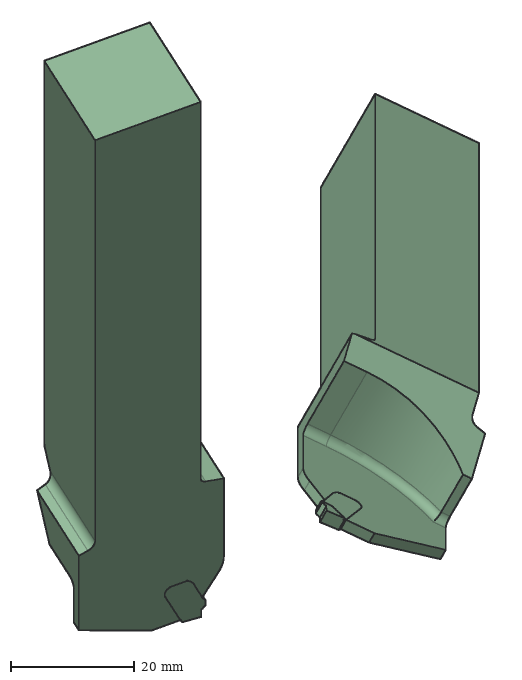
import cadquery as cq
import math

shank_width = 19.0
overall_height = 127.0
half_width = shank_width / 2
right_face_x = half_width

head_back_y = 13.7
head_front_y = -12.5
back_shoulder_z = 32.1
front_shoulder_z = 26.0
shoulder_angle = 15.0
back_neck_radius = 1.1
front_neck_radius = 1.8

slant_top_z = 32.3
slant_foot_x = -1.8
slant_foot_z = 18.0

blade_thickness = 1.9
blade_face_x = right_face_x - blade_thickness
relief_back_z = 26.9
relief_front_z = 17.5
relief_radius = 26.7
relief_fillet = 1.5
blade_bottom_z = 1.08
blade_front_z = 7.6
blade_toe_y = 0.6
blade_heel_z = 13.2
heel_arc_mid = (13.5, 11.2)
heel_arc_end = (12.6, 9.3)
insert_back_corner = (9.8, 4.7)
insert_front_corner = (5.8, blade_bottom_z)

insert_top_z = 10.2
insert_top_back_y = 7.1
insert_top_front_y = 4.1
front_arc_mid = (3.2, 9.4)
front_arc_end = (3.2, 8.0)
back_flank_foot = (9.5, 5.5)
back_arc_start = (8.5, 8.1)
back_arc_mid = (8.0, 9.3)
nose_edge_y = 10.4
nose_tip_y = 9.7
nose_front_y = 6.2
nose_front_z = 0.4
nose_tip_top_z = 1.8
nose_edge_z = 2.5
nose_shoulder_z = 3.7
chip_step_z = 3.0
chip_bend_y = 8.6
chip_foot_y = 6.9
nose_step = 0.32
nose_height = 0.45

cut_margin = 6.4
pick_margin = 0.1


def extrude_along_x(profile, start_x, end_x):
    """Extrude a closed YZ outline between two X positions."""
    return profile.extrude(end_x - start_x).translate((start_x, 0, 0))


def holder_outline():
    """Side outline of the shank, head and blade."""
    shoulder_slope = math.tan(math.radians(shoulder_angle))
    back_neck_z = back_shoulder_z + (head_back_y - half_width) * shoulder_slope
    front_neck_z = front_shoulder_z + (-half_width - head_front_y) * shoulder_slope
    return (
        cq.Workplane("YZ")
        .moveTo(-half_width, overall_height)
        .lineTo(half_width, overall_height)
        .lineTo(half_width, back_neck_z)
        .lineTo(head_back_y, back_shoulder_z)
        .lineTo(head_back_y, blade_heel_z)
        .threePointArc(heel_arc_mid, heel_arc_end)
        .lineTo(*insert_back_corner)
        .lineTo(*insert_front_corner)
        .lineTo(blade_toe_y, blade_bottom_z)
        .lineTo(head_front_y, blade_front_z)
        .lineTo(head_front_y, front_shoulder_z)
        .lineTo(-half_width, front_neck_z)
        .close()
    )


def fillet_neck(body, neck_y, radius):
    """Round the inner corner where the shank meets the shoulder at neck_y."""
    corner = cq.selectors.BoxSelector(
        (-half_width - pick_margin, neck_y - pick_margin, front_shoulder_z),
        (half_width + pick_margin, neck_y + pick_margin, slant_top_z + cut_margin),
    )
    return body.edges(corner).edges("|X").fillet(radius)


def slant_cutter():
    """Wedge below the slanted underside of the head."""
    slope = (slant_foot_x + half_width) / (slant_top_z - slant_foot_z)
    low_x = -half_width + slope * (slant_top_z + cut_margin)
    high_x = -half_width - slope * cut_margin
    return (
        cq.Workplane("XZ")
        .polyline([
            (high_x, slant_top_z + cut_margin),
            (low_x, -cut_margin),
            (high_x, -cut_margin),
        ])
        .close()
        .extrude(shank_width, both=True)
    )


def relief_cutter():
    """Space beside the blade, roofed by a large arc, with a rounded inner corner."""
    arc_center_z = relief_back_z - relief_radius
    front_reach = math.sqrt(relief_radius**2 - (relief_front_z - arc_center_z)**2)
    mid_angle = math.atan2(front_reach, relief_front_z - arc_center_z) / 2
    arc_mid = (
        half_width - relief_radius * math.sin(mid_angle),
        arc_center_z + relief_radius * math.cos(mid_angle),
    )
    outline = (
        cq.Workplane("YZ")
        .moveTo(head_back_y + cut_margin, -cut_margin)
        .lineTo(head_back_y + cut_margin, relief_back_z)
        .lineTo(half_width, relief_back_z)
        .threePointArc(arc_mid, (half_width - front_reach, relief_front_z))
        .lineTo(head_front_y - cut_margin, relief_front_z)
        .lineTo(head_front_y - cut_margin, -cut_margin)
        .close()
    )
    block = extrude_along_x(outline, -half_width - cut_margin, blade_face_x)
    roof_edges = cq.selectors.BoxSelector(
        (blade_face_x - pick_margin, head_front_y - cut_margin - pick_margin, 0),
        (blade_face_x + pick_margin, head_back_y + cut_margin - pick_margin, overall_height),
    )
    return block.edges(roof_edges).fillet(relief_fillet)


def make_insert():
    """Tilted cutting insert with a slightly raised nose."""
    outline = (
        cq.Workplane("YZ")
        .moveTo(insert_top_back_y, insert_top_z)
        .lineTo(insert_top_front_y, insert_top_z)
        .threePointArc(front_arc_mid, front_arc_end)
        .lineTo(*insert_front_corner)
        .lineTo(nose_front_y, nose_front_z)
        .lineTo(nose_tip_y, 0)
        .lineTo(nose_tip_y, nose_tip_top_z)
        .lineTo(nose_edge_y, nose_edge_z)
        .lineTo(nose_edge_y, nose_shoulder_z)
        .lineTo(*insert_back_corner)
        .lineTo(*back_flank_foot)
        .lineTo(*back_arc_start)
        .threePointArc(back_arc_mid, (insert_top_back_y, insert_top_z))
        .close()
    )
    body = extrude_along_x(outline, blade_face_x, right_face_x)

    nose_outline = (
        cq.Workplane("YZ")
        .polyline([
            (nose_edge_y, chip_step_z),
            (chip_bend_y, chip_step_z),
            (chip_foot_y, blade_bottom_z),
            (nose_front_y, nose_front_z),
            (nose_tip_y, 0),
            (nose_tip_y, nose_tip_top_z),
            (nose_edge_y, nose_edge_z),
        ])
        .close()
    )
    nose = extrude_along_x(nose_outline, blade_face_x - nose_height, right_face_x)
    nose_slope = (
        cq.Workplane("XZ")
        .polyline([
            (blade_face_x - nose_height, 0),
            (blade_face_x - nose_step, chip_step_z),
            (right_face_x, chip_step_z),
            (right_face_x, 0),
        ])
        .close()
        .extrude(shank_width, both=True)
    )
    return body.union(nose.intersect(nose_slope))


def make_holder(insert):
    """Shank, head and blade in one piece, with a seat for the insert."""
    body = extrude_along_x(holder_outline(), -half_width, right_face_x)
    body = fillet_neck(body, half_width, back_neck_radius)
    body = fillet_neck(body, -half_width, front_neck_radius)
    return body.cut(slant_cutter()).cut(relief_cutter()).cut(insert)


insert = make_insert()
holder = make_holder(insert)
result = cq.Compound.makeCompound([holder.solids().val(), insert.solids().val()])